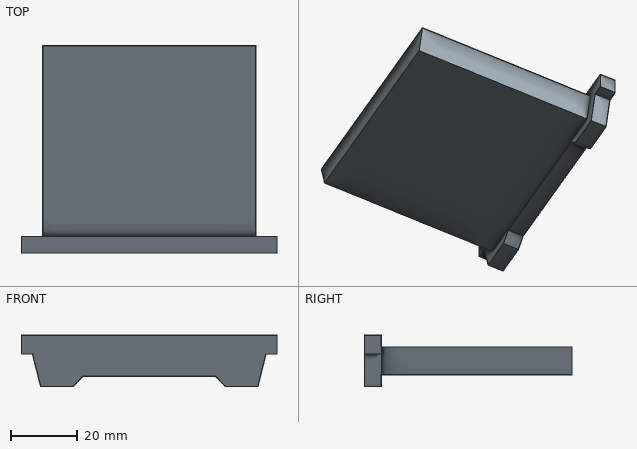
import cadquery as cq

rail_width = 77.0
rail_height = 5.7
plate_height = 15.5
plate_thickness = 5.1
body_top_width = 70.4
body_bottom_width = 65.45
recess_mouth_width = 45.9
recess_roof_width = 39.9
recess_depth = 3.1

overall_depth = 62.5
slab_top_width = 64.2
slab_height = 8.4
slab_top_drop = 3.55
side_slope = (body_top_width - body_bottom_width) / 2 / (plate_height - rail_height)
slab_bottom_width = slab_top_width - 2 * side_slope * slab_height


def symmetric_prism(right_half, y_start, length):
    """Mirror an XZ half outline about X = 0 and extrude it toward +Y."""
    left_half = [(-x, z) for x, z in reversed(right_half)]
    return (
        cq.Workplane("XZ", origin=(0, y_start, 0))
        .polyline(right_half + left_half)
        .close()
        .extrude(-length)
    )


def make_plate():
    rail_bottom = plate_height - rail_height
    right_half = [
        (rail_width / 2, plate_height),
        (rail_width / 2, rail_bottom),
        (body_top_width / 2, rail_bottom),
        (body_bottom_width / 2, 0),
        (recess_mouth_width / 2, 0),
        (recess_roof_width / 2, recess_depth),
    ]
    return symmetric_prism(right_half, 0, plate_thickness)


def make_slab():
    slab_top = plate_height - slab_top_drop
    right_half = [
        (slab_top_width / 2, slab_top),
        (slab_bottom_width / 2, slab_top - slab_height),
    ]
    return symmetric_prism(right_half, plate_thickness, overall_depth - plate_thickness)


result = make_plate().union(make_slab())